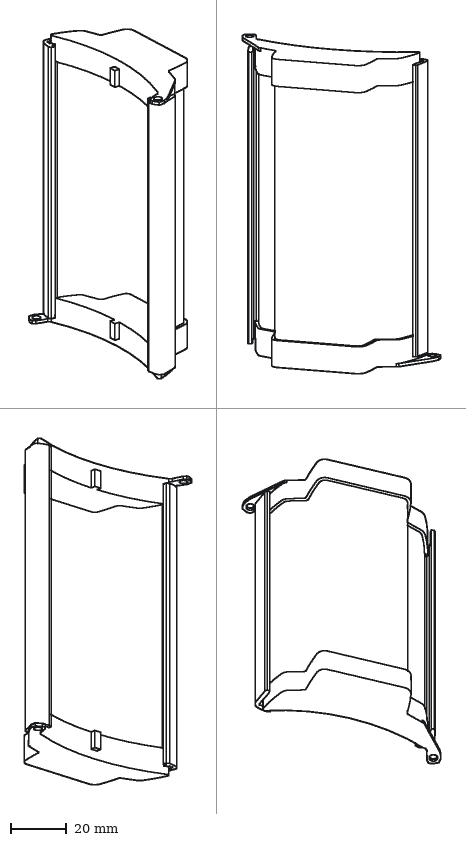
import cadquery as cq
import math

HEIGHT = 114.1
END_BLOCK = 10.0
RAIL_LENGTH = 108.0
LUG_THICKNESS = 1.2

FRONT_RADIUS = 81.5

CROWN_CORNER = (17.1, 19.86)
CROWN_SIDE = (18.2, 14.9)
SHOULDER_ROOT = (19.05, 8.2)
SHOULDER_CORNER = (26.3, 5.7)
FLANK_MIDDLE = (29.3, -0.2)
FLANK_END = (30.9, -4.75)
SKIRT_END = (30.9, -14.0)

SHELL_INSET = 1.15
WALL = 1.05

OUTER_FILLETS = (3.3, 0.9, 4.0)
SHELL_FILLETS = (2.6, 1.2, 3.0)
CAVITY_FILLETS = (1.9, 2.7, 1.5)
TIP_FILLET = 0.8

RAIL_STRIP = (
    (32.0, 0.8),
    (31.4, 1.5),
    (30.35, 1.5),
    (30.4, 0.0),
    (31.9, -5.0),
    (31.9, -6.2),
)
RAIL_STEM = (
    (30.4, -6.2),
    (30.4, -4.4),
    (28.5, -4.2),
    (28.5, -6.6),
)
RAIL_FOOT = (
    (27.9, -6.8),
    (27.0, -6.5),
    (27.3, -8.0),
    (28.5, -8.45),
    (30.9, -8.05),
    (32.3, -7.5),
)
RAIL_BEND_MIDDLE = (33.3, -6.7)
RAIL_BEND_END = (33.6, -5.3)

PEG_WIDTH = 2.8
PEG_FRONT = -2.0
PEG_ROOT = 1.0
PEG_LENGTH = 6.6

LUG_OUTLINE = (
    (25.5, 6.0),
    (26.3, 5.6),
    (35.6, -5.5),
    (36.5, -7.1),
    (37.04, -8.4),
    (37.04, -10.6),
    (34.8, -11.94),
    (33.4, -11.94),
    (32.6, -11.0),
    (31.6, -8.2),
    (31.2, -6.6),
    (30.0, -5.4),
    (27.0, -4.0),
)
LUG_HOLE_CENTER = (34.4, -9.1)
LUG_HOLE_RADIUS = 1.5


def mirrored(point):
    return (-point[0], point[1])


def prism(sketch, bottom, top):
    """Extrude a closed XY outline between two Z levels."""
    return sketch.extrude(top - bottom).translate((0, 0, bottom))


def rounded_pair(body, corner, radius):
    """Fillet the upright edges nearest to an XY corner and to its mirror image."""
    middle = body.val().BoundingBox().center.z
    for x, y in (corner, mirrored(corner)):
        nearest = cq.selectors.NearestToPointSelector((x, y, middle))
        body = body.edges("|Z").edges(nearest).fillet(radius)
    return body


def hat_body(inset, fillets, bottom, top):
    """Hat-shaped prism, drawn in by an inset and rounded at its three pairs of corners."""
    outline = (
        cq.Workplane("XY")
        .moveTo(*mirrored(CROWN_CORNER))
        .lineTo(*CROWN_CORNER)
        .threePointArc(CROWN_SIDE, SHOULDER_ROOT)
        .lineTo(*SHOULDER_CORNER)
        .threePointArc(FLANK_MIDDLE, FLANK_END)
        .lineTo(*SKIRT_END)
        .lineTo(*mirrored(SKIRT_END))
        .lineTo(*mirrored(FLANK_END))
        .threePointArc(mirrored(FLANK_MIDDLE), mirrored(SHOULDER_CORNER))
        .lineTo(*mirrored(SHOULDER_ROOT))
        .threePointArc(mirrored(CROWN_SIDE), mirrored(CROWN_CORNER))
        .close()
    )
    if inset:
        outline = outline.offset2D(-inset, "intersection")
    body = prism(outline, bottom, top)
    corners = (CROWN_CORNER, SHOULDER_ROOT, SHOULDER_CORNER)
    for corner, radius in zip(corners, fillets):
        body = rounded_pair(body, (corner[0], corner[1] - inset), radius)
    return body


def front_cylinder():
    """Cylinder whose surface is the concave front face."""
    return cq.Workplane("XY").center(0, -FRONT_RADIUS).circle(FRONT_RADIUS).extrude(HEIGHT, both=True)


def end_block():
    """Solid upper end block with rounded front tips."""
    block = hat_body(0, OUTER_FILLETS, HEIGHT / 2 - END_BLOCK, HEIGHT / 2).cut(front_cylinder())
    tip_x = SKIRT_END[0]
    tip_y = math.sqrt(FRONT_RADIUS**2 - tip_x**2) - FRONT_RADIUS
    return rounded_pair(block, (tip_x, tip_y), TIP_FILLET)


def frame():
    """Two solid end blocks joined by a thin shell that is open at the front."""
    top = HEIGHT / 2 - END_BLOCK
    shell = hat_body(SHELL_INSET, SHELL_FILLETS, -top, top)
    cavity = hat_body(SHELL_INSET + WALL, CAVITY_FILLETS, -top, top)
    shell = shell.cut(cavity).cut(front_cylinder())
    block = end_block()
    return shell.union(block).union(block.mirror("XY"))


def rail():
    """Hooked rail along the right flank: a tall outer strip, a slot, and a foot under the frame."""
    outline = (
        cq.Workplane("XY")
        .polyline(RAIL_STRIP + RAIL_STEM + RAIL_FOOT)
        .threePointArc(RAIL_BEND_MIDDLE, RAIL_BEND_END)
        .close()
    )
    return prism(outline, -RAIL_LENGTH / 2, RAIL_LENGTH / 2)


def peg():
    """Peg standing on the curved front face of the upper end block."""
    base = HEIGHT / 2 - END_BLOCK
    depth = PEG_ROOT - PEG_FRONT
    sketch = cq.Workplane("XY").center(0, PEG_FRONT + depth / 2).rect(PEG_WIDTH, depth)
    return prism(sketch, base, base + PEG_LENGTH)


def lug():
    """Thin hinge lug level with the top face, reaching out from the right flank."""
    sketch = (
        cq.Workplane("XY")
        .polyline(LUG_OUTLINE)
        .close()
        .moveTo(*LUG_HOLE_CENTER)
        .circle(LUG_HOLE_RADIUS)
    )
    return prism(sketch, HEIGHT / 2 - LUG_THICKNESS, HEIGHT / 2)


half_turn = ((0, 0, 0), (0, 1, 0), 180)
result = frame()
for feature in (rail(), peg(), lug()):
    result = result.union(feature).union(feature.rotate(*half_turn))